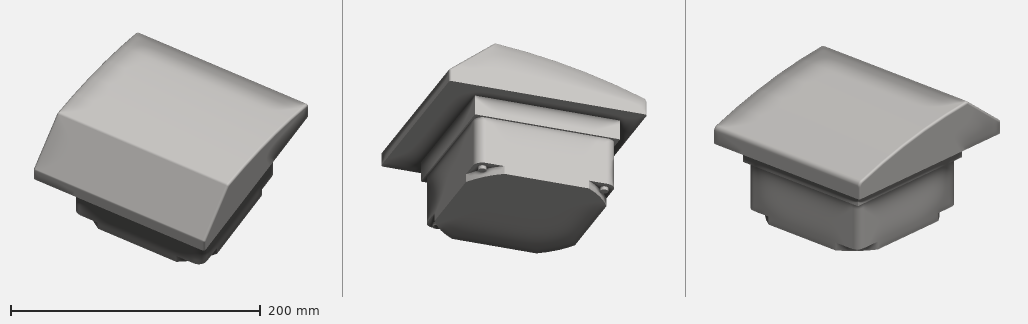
import cadquery as cq
import math

body_height = 48.0
collar_height = 17.0
cap_height = 41.49

cap_width = 158.0
cap_depth = 169.0
cap_rear_overhang = 17.0
front_wall_height = 11.0
rear_wall_height = 14.2
ridge_setback = 39.2
ridge_trim = 0.08
crown_radius = 500.0
edge_radius = 2.0
ridge_radius = 3.0
rear_edge_radius = 5.0

collar_size = 124.0
body_size = 120.0
body_corner_radius = 8.0

foot_height = 7.0
foot_radius = 70.0
pin_diameter = 7.0
pin_height = 3.0

cap_rear_y = collar_size / 2 + cap_rear_overhang
cap_front_y = cap_rear_y - cap_depth
ridge_y = cap_front_y + ridge_setback
ridge_height = cap_height + ridge_trim
body_bottom = -collar_height - body_height
foot_top = body_bottom + foot_height
pin_offset = body_size / 2 - body_corner_radius


def crown_midpoint():
    """Point halfway along the crown arc from the ridge to the rear wall, as (y, z)."""
    run = cap_rear_y - ridge_y
    rise = rear_wall_height - ridge_height
    chord = math.hypot(run, rise)
    bulge = crown_radius - math.sqrt(crown_radius**2 - (chord / 2) ** 2)
    mid_y = (ridge_y + cap_rear_y) / 2 - bulge * rise / chord
    mid_z = (ridge_height + rear_wall_height) / 2 + bulge * run / chord
    return (mid_y, mid_z)


def edge_at(y, z):
    """Selector for the edge that runs along X through the profile corner (y, z)."""
    return cq.selectors.NearestToPointSelector((0, y, z))


def make_cap():
    cap = (
        cq.Workplane("YZ")
        .moveTo(cap_front_y, 0)
        .lineTo(cap_front_y, front_wall_height)
        .lineTo(ridge_y, ridge_height)
        .threePointArc(crown_midpoint(), (cap_rear_y, rear_wall_height))
        .lineTo(cap_rear_y, 0)
        .close()
        .extrude(cap_width / 2, both=True)
    )
    cap = cap.edges(edge_at(cap_rear_y, rear_wall_height)).fillet(rear_edge_radius)
    cap = cap.edges(edge_at(ridge_y, ridge_height)).fillet(ridge_radius)
    cap = cap.edges(edge_at(cap_front_y, front_wall_height)).fillet(edge_radius)
    side_outlines = cap.faces("<X or >X").edges().edges("not <Z")
    return side_outlines.fillet(edge_radius)


def make_collar():
    return cq.Workplane("XY").rect(collar_size, collar_size).extrude(-collar_height)


def rounded_square(bottom, height):
    block = cq.Workplane("XY").workplane(offset=bottom).rect(body_size, body_size).extrude(height)
    return block.edges("|Z").fillet(body_corner_radius)


def make_body():
    return rounded_square(foot_top, body_height - foot_height)


def make_foot():
    disc = cq.Workplane("XY").workplane(offset=body_bottom).circle(foot_radius).extrude(foot_height)
    return rounded_square(body_bottom, foot_height).intersect(disc)


def make_pins():
    """Short pins that hang under the four corner ledges above the foot."""
    return (
        cq.Workplane("XY")
        .workplane(offset=foot_top)
        .rect(2 * pin_offset, 2 * pin_offset, forConstruction=True)
        .vertices()
        .circle(pin_diameter / 2)
        .extrude(-pin_height)
    )


result = make_cap().union(make_collar()).union(make_body()).union(make_foot()).union(make_pins())